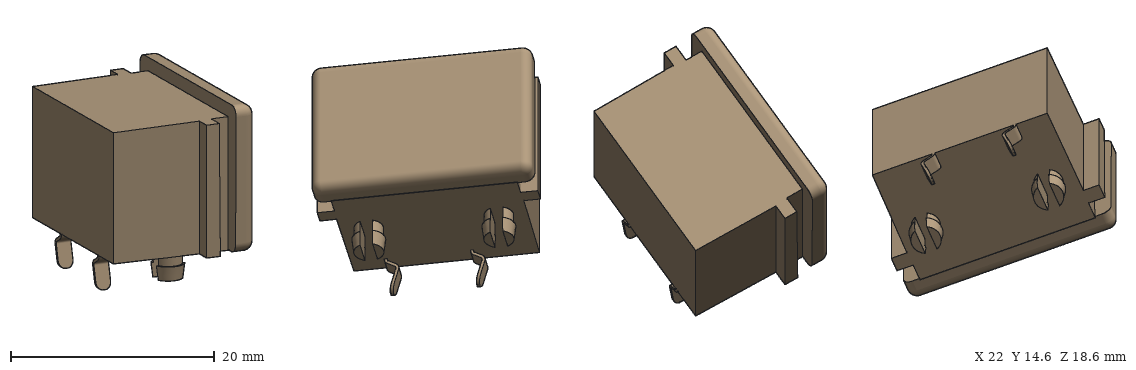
import cadquery as cq
import math

WIDTH = 22
HEIGHT = 14.94
DEPTH = 14.6
DRAFT = 0.5

BEZEL_BOTTOM_THICKNESS = 2.15
BEZEL_TOP_THICKNESS = 2.1
BEZEL_ROUNDING = 1.0

HOUSING_WIDTH = 18.75
HOUSING_BOTTOM = -0.07
HOUSING_TOP = 13.55
HOUSING_START = 2.02

RAIL_BACK = 5.3
GROOVE_BACK = 3.8
GROOVE_FLOOR_WIDTH = 18.57

PEG_SPACING = 12.98
PEG_Y = -7.37
PEG_SHAFT_DIAMETER = 2.9
PEG_HEAD_DIAMETER = 3.35
PEG_TIP_DIAMETER = 2.97
PEG_HEAD_Z = -1.39
PEG_TIP_Z = -2.88
PEG_SLOT = 1.25

STRIP_THICKNESS = 0.3
STRIP_WIDTH = 1.6
STRIP_SPACING = 8.6
STRIP_X = -2.8
STRIP_BEND_Z = -0.26
STRIP_KNEE_OFFSET = 1.23
STRIP_SLOPE = 30
STRIP_LEAN = 15
STRIP_TIP_Z = -3.7
STRIP_BEND_RADIUS = 0.42

EMBED = 0.65


def make_bezel():
    plate = (
        cq.Workplane("YZ")
        .polyline([(0, 0), (-BEZEL_BOTTOM_THICKNESS, 0), (-BEZEL_TOP_THICKNESS, HEIGHT), (0, HEIGHT)])
        .close()
        .extrude(WIDTH / 2, both=True)
    )
    return plate.edges("|Y").fillet(BEZEL_ROUNDING).faces(">Y").edges().fillet(BEZEL_ROUNDING)


def make_housing():
    slope = math.tan(math.radians(DRAFT))
    half_width = HOUSING_WIDTH / 2
    rail_half_width = half_width - slope * (RAIL_BACK - HOUSING_START)
    shrink = slope * (DEPTH - HOUSING_START)
    plan = (
        cq.Workplane("XY", origin=(0, 0, HOUSING_BOTTOM))
        .polyline([
            (-WIDTH / 2, -HOUSING_START),
            (-WIDTH / 2, -RAIL_BACK),
            (-rail_half_width, -RAIL_BACK),
            (-half_width + shrink, -DEPTH),
            (half_width - shrink, -DEPTH),
            (rail_half_width, -RAIL_BACK),
            (WIDTH / 2, -RAIL_BACK),
            (WIDTH / 2, -HOUSING_START),
        ])
        .close()
        .extrude(HOUSING_TOP - HOUSING_BOTTOM)
    )
    side = (
        cq.Workplane("YZ")
        .polyline([
            (-HOUSING_START, HOUSING_BOTTOM),
            (-DEPTH, HOUSING_BOTTOM + shrink),
            (-DEPTH, HOUSING_TOP - shrink),
            (-HOUSING_START, HOUSING_TOP),
        ])
        .close()
        .extrude(WIDTH / 2, both=True)
    )
    return plan.intersect(side).cut(make_grooves())


def make_grooves():
    groove_depth = WIDTH - GROOVE_FLOOR_WIDTH
    offset = GROOVE_FLOOR_WIDTH / 2 + groove_depth / 2
    return (
        cq.Workplane("XY", origin=(0, 0, HOUSING_BOTTOM))
        .pushPoints([(-offset, -GROOVE_BACK / 2), (offset, -GROOVE_BACK / 2)])
        .rect(groove_depth, GROOVE_BACK)
        .extrude(HEIGHT, taper=-DRAFT)
    )


def make_peg(x):
    shaft_radius = PEG_SHAFT_DIAMETER / 2
    peg = (
        cq.Workplane("XZ")
        .polyline([
            (0, EMBED),
            (shaft_radius, EMBED),
            (shaft_radius, PEG_HEAD_Z),
            (PEG_HEAD_DIAMETER / 2, PEG_HEAD_Z),
            (PEG_TIP_DIAMETER / 2, PEG_TIP_Z),
            (0, PEG_TIP_Z),
        ])
        .close()
        .revolve(360, (0, 0), (0, 1))
    )
    slot = (
        cq.Workplane("XY", origin=(0, 0, PEG_TIP_Z))
        .rect(PEG_SLOT, PEG_HEAD_DIAMETER)
        .extrude(EMBED - PEG_TIP_Z)
    )
    return peg.cut(slot).translate((x, PEG_Y, 0))


def make_strip(x):
    knee_z = STRIP_BEND_Z - STRIP_KNEE_OFFSET * math.tan(math.radians(STRIP_SLOPE))
    tip_shift = (knee_z - STRIP_TIP_Z) * math.tan(math.radians(STRIP_LEAN))
    y = -DEPTH + STRIP_WIDTH / 2
    centre_line = cq.Wire.makePolygon([
        cq.Vector(x, y, EMBED),
        cq.Vector(x, y, STRIP_BEND_Z),
        cq.Vector(x - STRIP_KNEE_OFFSET, y, knee_z),
        cq.Vector(x - STRIP_KNEE_OFFSET + tip_shift, y, STRIP_TIP_Z),
    ]).fillet(STRIP_BEND_RADIUS)
    strip = (
        cq.Workplane("XY", origin=(x, y, EMBED))
        .rect(STRIP_THICKNESS, STRIP_WIDTH)
        .sweep(cq.Workplane(obj=centre_line))
    )
    half_width = STRIP_WIDTH / 2
    rounding = (
        cq.Workplane("YZ", origin=(x, y, 0))
        .moveTo(-half_width, EMBED)
        .lineTo(-half_width, STRIP_TIP_Z + half_width)
        .threePointArc((0, STRIP_TIP_Z), (half_width, STRIP_TIP_Z + half_width))
        .lineTo(half_width, EMBED)
        .close()
        .extrude(2 * STRIP_KNEE_OFFSET, both=True)
    )
    return strip.intersect(rounding)


result = make_bezel().union(make_housing())
for peg_x in (-PEG_SPACING / 2, PEG_SPACING / 2):
    result = result.union(make_peg(peg_x))
for strip_x in (STRIP_X, STRIP_X + STRIP_SPACING):
    result = result.union(make_strip(strip_x))